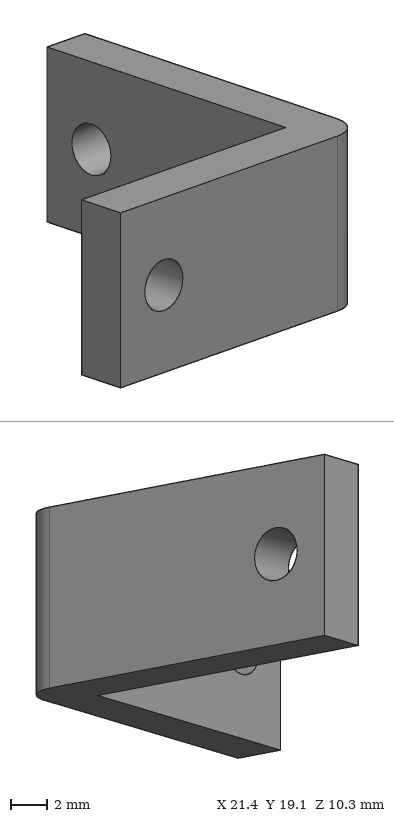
import cadquery as cq

length_x = 21.4
length_y = 19.1
height = 10.3

thickness = 3.0
corner_radius = 2.0
hole_diameter = 3.0
hole_end_distance = 3.42
mid_height = height / 2


def make_leg_bodies():
    """Two legs meeting at a corner that is rounded outside and sharp inside."""
    back_leg = cq.Workplane("XY").box(length_x, thickness, height, centered=False)
    back_leg = back_leg.translate((0, length_y - thickness, 0))
    side_leg = cq.Workplane("XY").box(thickness, length_y, height, centered=False)
    side_leg = side_leg.translate((length_x - thickness, 0, 0))
    bracket = back_leg.union(side_leg, clean=True)
    return bracket.edges("|Z and >X and >Y").fillet(corner_radius)


def make_hole(start, direction):
    """Cylinder that passes through one leg, from its inner to its outer face."""
    return cq.Workplane(
        cq.Solid.makeCylinder(hole_diameter / 2, thickness, cq.Vector(*start), cq.Vector(*direction))
    )


back_hole = make_hole((hole_end_distance, length_y - thickness, mid_height), (0, 1, 0))
side_hole = make_hole((length_x - thickness, hole_end_distance, mid_height), (1, 0, 0))

result = make_leg_bodies().cut(back_hole).cut(side_hole)